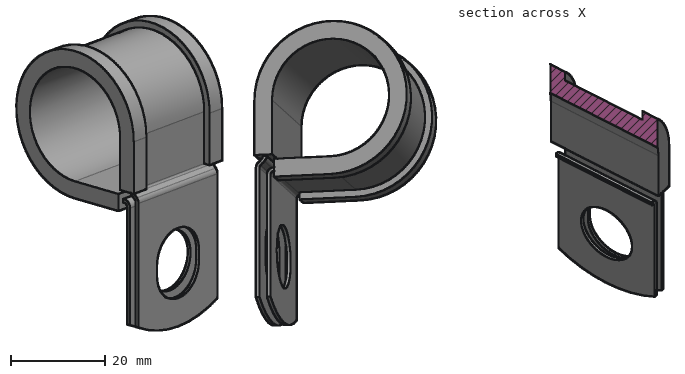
import cadquery as cq
import math


bore_radius = 12.7
liner_thickness = 1.524
lip_thickness = 1.524
vertical_arm_end_z = -11.7
horizontal_arm_end_x = 12.25

strap_thickness = 0.8128
strap_width = 25.4
exposed_width = 20.32

bend_inner_radius = 0.8
inner_bend_start_x = 12.57
jog_start_z = -11.68
jog_angle = math.radians(45)
outer_tab_face_x = 16.58
tab_end_z = -45.21
tab_end_radius = 27.94
bolt_hole_diameter = 13.46
outer_slot_length = 15.75
bolt_hole_z = -30.95

strap_inner_radius = bore_radius + liner_thickness
strap_mid_radius = strap_inner_radius + strap_thickness / 2
strap_outer_radius = strap_inner_radius + strap_thickness
cushion_outer_radius = strap_outer_radius + lip_thickness
cushion_width = strap_width + 2 * lip_thickness
bend_mid_radius = bend_inner_radius + strap_thickness / 2
inner_tab_x = inner_bend_start_x + bend_mid_radius
outer_tab_x = outer_tab_face_x - strap_thickness / 2
tab_gap_mid_x = (inner_tab_x + outer_tab_x) / 2
cutter_reach = cushion_outer_radius + lip_thickness
cos_45 = math.sqrt(0.5)


def arm_loop(inner_radius, outer_radius, width):
    """Three-quarter ring with one arm along +X and one along -Z, centred on Y = 0."""
    return (
        cq.Workplane("XZ")
        .moveTo(inner_radius, vertical_arm_end_z)
        .lineTo(inner_radius, 0)
        .threePointArc((-inner_radius * cos_45, inner_radius * cos_45), (0, -inner_radius))
        .lineTo(horizontal_arm_end_x, -inner_radius)
        .lineTo(horizontal_arm_end_x, -outer_radius)
        .lineTo(0, -outer_radius)
        .threePointArc((-outer_radius * cos_45, outer_radius * cos_45), (outer_radius, 0))
        .lineTo(outer_radius, vertical_arm_end_z)
        .close()
        .extrude(width / 2, both=True)
    )


def make_cushion():
    """Rubber loop with an outer channel that exposes the middle of the strap."""
    cushion = arm_loop(bore_radius, cushion_outer_radius, cushion_width)
    channel = arm_loop(strap_outer_radius, cutter_reach, exposed_width)
    return cushion.cut(channel)


def make_bent_strap():
    """Strap swept along its mid line: inner tab, bend, loop, jog, outer tab."""
    inner_bend_end_z = -strap_mid_radius - bend_mid_radius

    bend_shift = bend_mid_radius * (1 - math.cos(jog_angle))
    bend_drop = bend_mid_radius * math.sin(jog_angle)
    straight_shift = outer_tab_x - strap_mid_radius - 2 * bend_shift
    straight_drop = straight_shift / math.tan(jog_angle)
    first_bend_end = (strap_mid_radius + bend_shift, jog_start_z - bend_drop)
    second_bend_start = (outer_tab_x - bend_shift, first_bend_end[1] - straight_drop)
    second_bend_end = (outer_tab_x, second_bend_start[1] - bend_drop)

    mid_line = (
        cq.Workplane("XZ")
        .moveTo(inner_tab_x, tab_end_z)
        .lineTo(inner_tab_x, inner_bend_end_z)
        .tangentArcPoint((inner_bend_start_x, -strap_mid_radius), relative=False)
        .lineTo(0, -strap_mid_radius)
        .threePointArc(
            (-strap_mid_radius * cos_45, strap_mid_radius * cos_45), (strap_mid_radius, 0)
        )
        .lineTo(strap_mid_radius, jog_start_z)
        .tangentArcPoint(first_bend_end, relative=False)
        .lineTo(*second_bend_start)
        .tangentArcPoint(second_bend_end, relative=False)
        .lineTo(outer_tab_x, tab_end_z)
    )
    return (
        cq.Workplane("XY", origin=(inner_tab_x, 0, tab_end_z))
        .rect(strap_thickness, strap_width)
        .sweep(mid_line)
    )


def round_tab_ends(strap):
    """Trim both tab ends to one shallow arc."""
    half_width = strap_width / 2
    arc_rise = tab_end_radius - math.sqrt(tab_end_radius**2 - half_width**2)
    corner_z = tab_end_z + arc_rise
    waste = (
        cq.Workplane("YZ")
        .moveTo(-half_width, corner_z)
        .threePointArc((0, tab_end_z), (half_width, corner_z))
        .lineTo(half_width, tab_end_z)
        .lineTo(-half_width, tab_end_z)
        .close()
        .extrude(cutter_reach)
    )
    return strap.cut(waste)


def drill_bolt_holes(strap):
    """Cut a round bolt hole in the inner tab and an elongated one in the outer tab."""
    bore = cq.Workplane("YZ", origin=(0, 0, bolt_hole_z))
    inner_drill = bore.circle(bolt_hole_diameter / 2).extrude(tab_gap_mid_x)
    outer_bore = bore.workplane(offset=tab_gap_mid_x)
    outer_drill = outer_bore.slot2D(outer_slot_length, bolt_hole_diameter, 90).extrude(cutter_reach)
    return strap.cut(inner_drill).cut(outer_drill)


strap = drill_bolt_holes(round_tab_ends(make_bent_strap()))
result = make_cushion().union(strap)